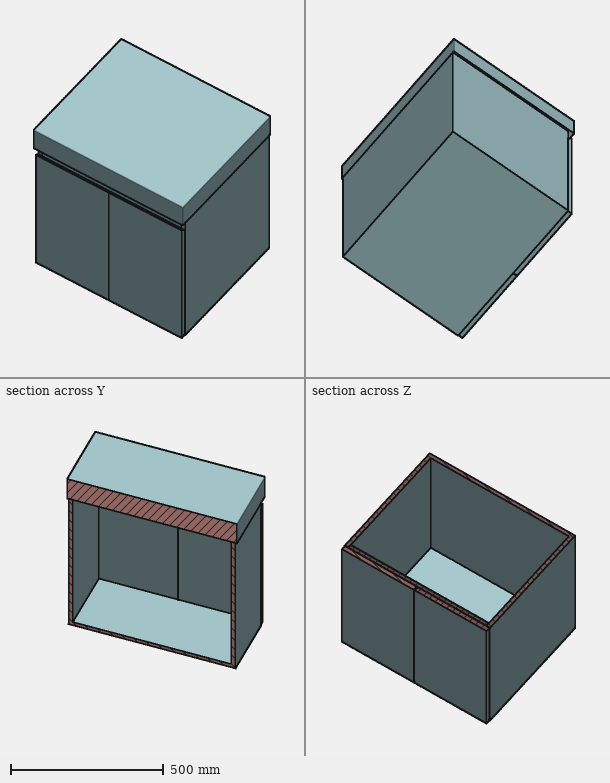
import cadquery as cq

top_width = 600.0
top_depth = 500.0
total_height = 640.0

top_thickness = 88.0
top_edge_radius = 1.0

side_overhang = 5.0
panel = 16.0
door_thickness = 16.5
door_setback = 4.0

grip_gap = 32.0
door_side_reveal = 2.0
door_spacing = 2.0
door_bevel = 13.0

carcass_width = top_width - 2 * side_overhang
carcass_height = total_height - top_thickness
front_y = -top_depth / 2
back_y = top_depth / 2
door_front_y = front_y + door_setback
carcass_front_y = door_front_y + door_thickness
carcass_depth = back_y - carcass_front_y
inner_width = carcass_width - 2 * panel
door_height = carcass_height - grip_gap
door_width = (carcass_width - 2 * door_side_reveal - door_spacing) / 2

rail_height = 2 * grip_gap


def block(width, depth, height, y, z):
    """Box centred on X, with its front face at y and its underside at z."""
    return cq.Workplane("XY").box(width, depth, height, centered=(True, False, False)).translate((0, y, z))


def make_countertop():
    """Slab with softly rounded corners and top edges, and sharp lower edges."""
    slab = block(top_width, top_depth, top_thickness, front_y, carcass_height)
    return slab.edges("|Z or >Z").fillet(top_edge_radius)


def make_carcass():
    outside = block(carcass_width, carcass_depth, carcass_height, carcass_front_y, 0)
    cavity = block(inner_width, carcass_depth - panel, carcass_height - panel, carcass_front_y, panel)
    return outside.cut(cavity)


def make_rail():
    """Front rail between the side panels, flush with their front edges."""
    return block(inner_width, panel, rail_height, carcass_front_y, carcass_height - rail_height)


def make_door(side):
    """Door with a finger bevel along its top rear edge; side is -1 for left, 1 for right."""
    door = block(door_width, door_thickness, door_height, door_front_y, 0)
    door = door.edges(">Y and >Z").chamfer(door_bevel)
    return door.translate((side * (door_width + door_spacing) / 2, 0, 0))


countertop = make_countertop()
carcass = make_carcass()
rail = make_rail()
doors = [make_door(side) for side in (-1, 1)]

result = cq.Compound.makeCompound(
    [countertop.val(), carcass.val(), rail.val(), *[door.val() for door in doors]]
)